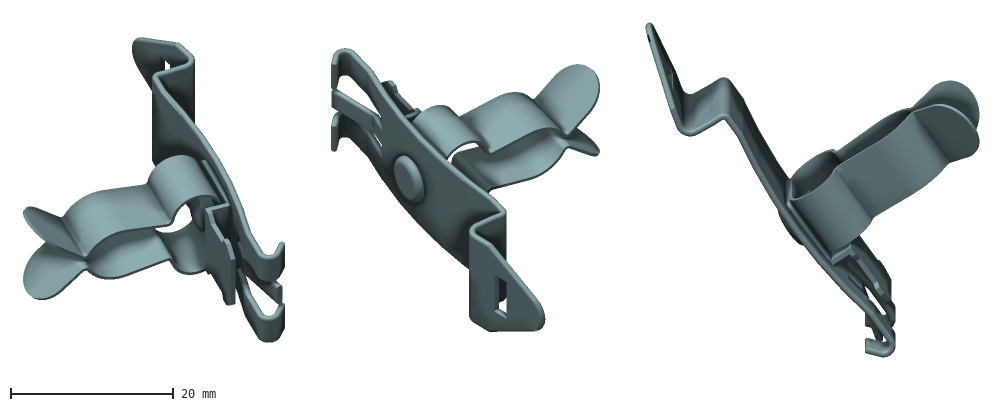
import cadquery as cq
import math


cut_reach = 50.5

strap_thickness = 0.8
strap_width = 14.0
strap_edge_round = 0.35

flat_y = -1.0
crown_start_x = -15.25
crown_end_x = 13.2
crown_rise = 1.4
left_flat_end_x = -17.9
right_flat_end_x = 17.3

heel_radius = 0.65
shoulder_radius = 1.4
curl_radius = 1.1
riser_length = 1.2
riser_lean = 4
leaning_riser_length = 2.3
handle_slope = 15
handle_length = 11.85
curl_angle = 140
curl_lip_length = 2.0

handle_tip_x = -31.65
handle_tip_radius = 3.0
taper_start_x = -22.9
taper_angle = 32.3

handle_slot_x = -24.85
handle_slot_y = 3.25
handle_slot_length = 2.05
handle_slot_height = 5.9

fork_start_x = 8.6
fork_width = 5.85
tongue_width = 2.95
tongue_bend_x = 11.2
tongue_slope = 15
tongue_tip_x = 18.2

plate_thickness = 0.6
plate_half_height = 4.95
plate_left_x = -4.0
plate_corner_radius = 0.8
web_x = 5.05
foot_front_y = -3.55
foot_tip_x = 13.85
foot_tip_half_height = 3.7
foot_waist_half_height = 4.05
waist_taper_start_x = 6.1
waist_start_x = 7.1
waist_end_x = 10.8
waist_taper_end_x = 11.25
tip_taper_start_x = 12.25

clip_thickness = 0.4
clip_width = 8.0
base_half_height = 2.9
loop_radius = 3.3
loop_angle = 171
neck_radius = 0.7
jaw_slope = 8.5
jaw_run = 5.35
jaw_radius = 4.95
jaw_angle = 67.5
throat_radius = 0.6
lip_slope = 39.5
lip_length = 7.4
lip_round = 3.95

shank_diameter = 5.0
rear_head_diameter = 6.05
rear_head_y = 1.2
rear_head_thickness = 0.95
rear_head_round = 0.8
front_shoulder_y = -2.6
front_dome_height = 0.65


def line(length):
    """A straight piece of the path."""
    return ("line", length, 0)


def bend(radius, angle):
    """A round bend; a positive angle turns left."""
    return ("bend", radius, angle)


def fold(angle):
    """A sharp fold between two pieces of the path."""
    return ("fold", 0, angle)


def bent_strip(plane, start, heading, moves, thickness):
    """Closed 2D outline of a sheet whose mid-thickness follows the moves from the start point.

    A fold between two lines is mitred; a fold beside a bend ends on the bend's radius.
    """
    half = thickness / 2
    x, y = start

    def sides(angle, reach=half):
        nx = -math.sin(math.radians(angle)) * reach
        ny = math.cos(math.radians(angle)) * reach
        return (x + nx, y + ny), (x - nx, y - ny)

    left_start, right_start = sides(heading)
    left_moves = []
    right_moves = []
    for index, (kind, size, angle) in enumerate(moves):
        if kind == "fold":
            heading += angle
            continue
        middles = None
        if kind == "line":
            x += size * math.cos(math.radians(heading))
            y += size * math.sin(math.radians(heading))
        else:
            chord = 2 * size * math.sin(math.radians(abs(angle) / 4))
            for step in range(2):
                x += chord * math.cos(math.radians(heading + angle / 4))
                y += chord * math.sin(math.radians(heading + angle / 4))
                heading += angle / 2
                if step == 0:
                    middles = sides(heading)
        end_heading = heading
        reach = half
        if index + 2 < len(moves) and moves[index + 1][0] == "fold":
            fold_angle = moves[index + 1][2]
            if kind == "line" and moves[index + 2][0] == "line":
                end_heading = heading + fold_angle / 2
                reach = half / math.cos(math.radians(fold_angle / 2))
            elif kind == "line":
                end_heading = heading + fold_angle
        left_end, right_end = sides(end_heading, reach)
        left_moves.append((middles and middles[0], left_end))
        right_moves.append((middles and middles[1], right_end))

    outline = cq.Workplane(plane).moveTo(*left_start)
    for middle, end in left_moves:
        outline = outline.threePointArc(middle, end) if middle else outline.lineTo(*end)
    right_ends = [right_start] + [end for _, end in right_moves]
    outline = outline.lineTo(*right_ends[-1])
    for index in range(len(right_moves) - 1, -1, -1):
        middle = right_moves[index][0]
        end = right_ends[index]
        outline = outline.threePointArc(middle, end) if middle else outline.lineTo(*end)
    return outline.close()


def round_strap_edges(strap):
    """Round the long edges of the sheet and the ends of its prongs."""
    longest_cut_edge = 1.1 * strap_thickness
    edges = [
        edge for edge in strap.edges("not |Z").vals()
        if edge.geomType() != "LINE" or edge.Length() > longest_cut_edge
    ]
    lip_angle = math.radians(curl_angle)
    lip_direction = cq.Vector(math.cos(lip_angle), math.sin(lip_angle), 0)
    lip_ends = strap.faces(cq.selectors.ParallelDirSelector(lip_direction))
    edges += lip_ends.edges("|Z").vals()
    return strap.newObject(edges).fillet(strap_edge_round)


def make_strap():
    """Sheet bent into a handle, a riser, a shallow crown and a fork of two curled prongs and a tongue."""
    joint = (crown_start_x, flat_y)
    half_chord = (crown_end_x - crown_start_x) / 2
    crown_half_angle = 2 * math.degrees(math.atan(crown_rise / half_chord))
    crown_radius = half_chord / math.sin(math.radians(crown_half_angle))

    handle = bent_strip("XY", joint, 180 + crown_half_angle, [
        fold(-crown_half_angle),
        line(crown_start_x - left_flat_end_x),
        bend(heel_radius, -90),
        line(riser_length),
        fold(riser_lean),
        line(leaning_riser_length),
        bend(shoulder_radius, 90 - riser_lean + handle_slope),
        line(handle_length),
    ], strap_thickness).extrude(strap_width / 2, both=True)
    prongs = bent_strip("XY", joint, crown_half_angle, [
        bend(crown_radius, -2 * crown_half_angle),
        fold(crown_half_angle),
        line(right_flat_end_x - crown_end_x),
        bend(curl_radius, curl_angle),
        line(curl_lip_length),
    ], strap_thickness).extrude(strap_width / 2, both=True)
    beyond_fork_start = (
        cq.Workplane("XY", origin=(fork_start_x, 0, 0))
        .box(cut_reach, cut_reach, cut_reach, centered=(False, True, True))
    )
    fork_gap = beyond_fork_start.intersect(cq.Workplane("XY").box(cut_reach, cut_reach, fork_width))

    crown_middle_x = (crown_start_x + crown_end_x) / 2
    fall_angle = math.degrees(math.asin((tongue_bend_x - crown_middle_x) / crown_radius))
    tongue_length = (tongue_tip_x - tongue_bend_x) / math.cos(math.radians(tongue_slope))
    tongue = bent_strip("XY", joint, crown_half_angle, [
        bend(crown_radius, -crown_half_angle - fall_angle),
        fold(fall_angle + tongue_slope),
        line(tongue_length),
    ], strap_thickness).extrude(tongue_width / 2, both=True).intersect(beyond_fork_start)

    strap = handle.union(prongs.cut(fork_gap)).union(tongue).clean()

    half_width = strap_width / 2
    tip_centre_x = handle_tip_x + handle_tip_radius
    taper = math.radians(taper_angle)
    tangent_x = tip_centre_x - handle_tip_radius * math.sin(taper)
    tangent_z = handle_tip_radius * math.cos(taper)
    outline = (
        cq.Workplane("XZ")
        .moveTo(cut_reach, half_width)
        .lineTo(taper_start_x, half_width)
        .lineTo(tangent_x, tangent_z)
        .threePointArc((handle_tip_x, 0), (tangent_x, -tangent_z))
        .lineTo(taper_start_x, -half_width)
        .lineTo(cut_reach, -half_width)
        .close()
        .extrude(cut_reach, both=True)
    )
    strap = round_strap_edges(strap.intersect(outline))

    handle_direction = (math.cos(math.radians(handle_slope)), math.sin(math.radians(handle_slope)), 0)
    across = (-handle_direction[1], handle_direction[0], 0)
    slot = (
        cq.Workplane(cq.Plane((handle_slot_x, handle_slot_y, 0), handle_direction, across))
        .rect(handle_slot_length, handle_slot_height)
        .extrude(2 * strap_thickness, both=True)
    )
    return strap.cut(slot).cut(rivet_hole())


def make_plate(strap):
    """Stepped plate whose rear face is shaped to the crown it sits against."""
    mid_y = -plate_thickness / 2
    foot_mid_y = foot_front_y + plate_thickness / 2
    web_mid_x = web_x + plate_thickness / 2
    sheet = bent_strip("XY", (plate_left_x, mid_y), 0, [
        line(web_mid_x - plate_left_x),
        fold(-90),
        line(mid_y - foot_mid_y),
        fold(90),
        line(foot_tip_x - web_mid_x),
    ], plate_thickness).extrude(plate_half_height, both=True)
    sheet = sheet.edges("|Y").edges("<X").fillet(plate_corner_radius)
    upper = [
        (waist_taper_start_x, plate_half_height),
        (waist_start_x, foot_waist_half_height),
        (waist_end_x, foot_waist_half_height),
        (waist_taper_end_x, plate_half_height),
        (tip_taper_start_x, plate_half_height),
        (foot_tip_x, foot_tip_half_height),
    ]
    lower = [(x, -z) for x, z in reversed(upper)]
    outline = (
        cq.Workplane("XZ")
        .moveTo(plate_left_x, plate_half_height)
        .polyline(upper + lower, includeCurrent=True)
        .lineTo(plate_left_x, -plate_half_height)
        .close()
        .extrude(cut_reach, both=True)
    )
    return sheet.cut(strap).intersect(outline).cut(rivet_hole())


def make_clip():
    """Spring clip with two mirrored arms that narrow to a throat and flare into round lips."""
    base_y = -plate_thickness - clip_thickness / 2
    arm = bent_strip("YZ", (base_y, 0), 90, [
        line(base_half_height),
        bend(loop_radius, loop_angle),
        bend(neck_radius, 90 - loop_angle - jaw_slope),
        line(jaw_run),
        bend(jaw_radius, jaw_angle),
        bend(throat_radius, jaw_slope - jaw_angle - lip_slope),
        line(lip_length),
    ], clip_thickness).extrude(clip_width / 2, both=True)
    arm = arm.faces("<Y").edges("not |X").fillet(lip_round)
    return arm.union(arm.mirror("XY")).cut(rivet_hole())


def rivet_hole():
    """Hole cutter as deep as the shank on both sides of Y = 0, short of the clip's jaws."""
    return cq.Workplane("XZ").circle(shank_diameter / 2).extrude(-front_shoulder_y, both=True)


def make_rivet():
    """Solid of revolution about Y with a domed front end and a rounded rear head."""
    shank_radius = shank_diameter / 2
    dome_radius = (shank_radius ** 2 + front_dome_height ** 2) / (2 * front_dome_height)
    tip_y = front_shoulder_y - front_dome_height
    dome_mid_angle = math.asin(shank_radius / dome_radius) / 2
    dome_middle = (
        dome_radius * math.sin(dome_mid_angle),
        tip_y + dome_radius * (1 - math.cos(dome_mid_angle)),
    )
    shank = (
        cq.Workplane("XY")
        .moveTo(0, tip_y)
        .threePointArc(dome_middle, (shank_radius, front_shoulder_y))
        .lineTo(shank_radius, rear_head_y)
        .lineTo(0, rear_head_y)
        .close()
        .revolve(360, (0, 0, 0), (0, 1, 0))
    )
    head = (
        cq.Workplane("XZ", origin=(0, rear_head_y, 0))
        .circle(rear_head_diameter / 2)
        .extrude(-rear_head_thickness)
        .faces(">Y")
        .edges()
        .fillet(rear_head_round)
    )
    return shank.union(head)


strap = make_strap()
plate = make_plate(strap)
clip = make_clip()
rivet = make_rivet()

result = cq.Compound.makeCompound([strap.val(), plate.val(), clip.val(), rivet.val()])